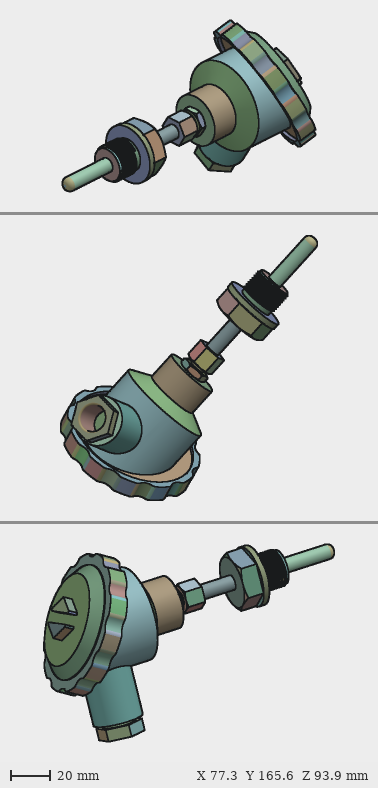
import cadquery as cq
import math


ROD_RADIUS = 4.0
TIP_FILLET = 3.1

THREAD_START = 30.5
THREAD_LEAD = 1.0
THREAD_END = 43.2
THREAD_ROOT_RADIUS = 9.1
THREAD_CREST_RADIUS = 10.0
THREAD_PITCH = 1.5
THREAD_BASE_WIDTH = 1.2
THREAD_OVERLAP = 0.2
FLANGE_START = 45.4
FLANGE_END = 48.7
FLANGE_RADIUS = 16.0
FITTING_HEX_END = 58.7
FITTING_HEX_FLATS = 27.2

NUT_FLATS = 14.0
GLAND_NUT_START = 78.4
GLAND_NUT_END = 88.6
LOCK_NUT_START = 90.5

STEM_START = 94.3
STEM_RADIUS = 14.1
CONE_START = 109.5
CONE_END = 115.2
BODY_RADIUS = 25.0

HEAD_ROLL = 30
LID_TILT = 30
LID_CENTRE = 139.0
ENTRY_CENTRE = 138.2

LID_RADIUS = 36.8
LID_THICKNESS = 9.6
LID_RECESS_RADIUS = 33.1
LID_RECESS_DEPTH = 2.0
GRIP_COUNT = 12
GRIP_RADIUS = 6.0
GRIP_DEPTH = 2.0
GRIP_FILLET = 3.0
CAP_BASE_RADIUS = 30.5
CAP_TOP_RADIUS = 24.5
CAP_STEP = 0.5
CAP_HEIGHT = 6.0
MARK_HALF_WIDTH = 10.5
MARK_SIDE = 1.3
MARK_GAP = 6.0
MARK_LENGTH = 8.0
MARK_HEIGHT = 5.0

ENTRY_RADIUS = 13.1
ENTRY_LENGTH = 50.0
ENTRY_NECK_RADIUS = 8.8
ENTRY_HEX_START = 52.0
ENTRY_HEX_END = 58.3
ENTRY_HEX_FLATS = 21.0
ENTRY_HOLE_RADIUS = 7.0
ENTRY_MOUTH_FILLET = 1.0
ENTRY_HOLE_DEPTH = 19.9

HEX_CHAMFER_ANGLE = 30
HEX_CORNER_RATIO = 2 / math.sqrt(3)


def along_probe(y):
    """Sketch plane across the probe at height y, with its normal towards the head."""
    return cq.Workplane(cq.Plane(origin=(0, y, 0), xDir=(-1, 0, 0), normal=(0, 1, 0)))


def disc(start, end, radius):
    return along_probe(start).circle(radius).extrude(end - start)


def chamfered_hexagon(start, end, flats, chamfer_start, chamfer_end):
    """Hexagon with corners on X; its corners may be turned to a cone at either end."""
    corner = flats * HEX_CORNER_RATIO / 2
    drop = (corner - flats / 2) * math.tan(math.radians(HEX_CHAMFER_ANGLE))
    prism = along_probe(start).polygon(6, 2 * corner).extrude(end - start)
    outline = [(0, start)]
    outline += [(flats / 2, start), (corner, start + drop)] if chamfer_start else [(corner, start)]
    outline += [(corner, end - drop), (flats / 2, end)] if chamfer_end else [(corner, end)]
    outline += [(0, end)]
    envelope = cq.Workplane("XY").polyline(outline).close().revolve(360, (0, 0, 0), (0, 1, 0))
    return prism.intersect(envelope)


def thread_ridge():
    """Right-handed triangular ridge wound around the thread core."""
    half_base = THREAD_BASE_WIDTH / 2
    first = THREAD_START + THREAD_LEAD
    turns_length = THREAD_END - first
    inner = THREAD_ROOT_RADIUS - THREAD_OVERLAP
    path = cq.Workplane("XY").add(cq.Wire.makeHelix(THREAD_PITCH, turns_length, inner))
    ridge = (
        cq.Workplane("XZ")
        .polyline([(inner, -half_base), (THREAD_CREST_RADIUS, 0), (inner, half_base)])
        .close()
        .sweep(path, isFrenet=True)
    )
    return ridge.rotate((0, 0, 0), (1, 0, 0), -90).translate((0, first, 0))


def probe():
    rod = disc(0, STEM_START, ROD_RADIUS).faces("<Y").edges().fillet(TIP_FILLET)
    core = disc(THREAD_START, FLANGE_START, THREAD_ROOT_RADIUS)
    flange = disc(FLANGE_START, FLANGE_END, FLANGE_RADIUS)
    fitting_hex = chamfered_hexagon(FLANGE_END, FITTING_HEX_END, FITTING_HEX_FLATS, False, True)
    gland_nut = chamfered_hexagon(GLAND_NUT_START, GLAND_NUT_END, NUT_FLATS, False, True)
    lock_nut = chamfered_hexagon(LOCK_NUT_START, STEM_START, NUT_FLATS, True, True)
    fitting = core.union(thread_ridge()).union(flange).union(fitting_hex)
    return rod.union(fitting).union(gland_nut).union(lock_nut)


def lid_plane(height):
    """Plane parallel to the lid, a height above its rim's underside; local Y points up the slope."""
    tilt = math.radians(LID_TILT)
    normal = cq.Vector(0, math.cos(tilt), math.sin(tilt))
    origin = cq.Vector(0, LID_CENTRE, 0) + normal * height
    return cq.Workplane(cq.Plane(origin=origin, xDir=(-1, 0, 0), normal=normal))


def head_body():
    body_end = LID_CENTRE + 2 * BODY_RADIUS
    outline = [
        (0, STEM_START),
        (STEM_RADIUS, STEM_START),
        (STEM_RADIUS, CONE_START),
        (BODY_RADIUS, CONE_END),
        (BODY_RADIUS, body_end),
        (0, body_end),
    ]
    body = cq.Workplane("XY").polyline(outline).close().revolve(360, (0, 0, 0), (0, 1, 0))
    cutter_size = 3 * BODY_RADIUS
    above_lid = lid_plane(LID_THICKNESS / 2).circle(cutter_size).extrude(cutter_size)
    return body.cut(above_lid)


def lid():
    roll, tilt = math.radians(HEAD_ROLL), math.radians(LID_TILT)
    first_grip = math.degrees(math.atan2(math.cos(roll) / math.cos(tilt), math.sin(roll)))
    grips = (
        lid_plane(0)
        .polarArray(LID_RADIUS + GRIP_RADIUS - GRIP_DEPTH, first_grip, 360, GRIP_COUNT)
        .circle(GRIP_RADIUS)
        .extrude(LID_THICKNESS)
    )
    rim = lid_plane(0).circle(LID_RADIUS).extrude(LID_THICKNESS).cut(grips)
    normal = lid_plane(0).plane.zDir
    rim = rim.edges(cq.selectors.ParallelDirSelector(normal)).fillet(GRIP_FILLET)
    rim = rim.cut(lid_plane(0).circle(LID_RECESS_RADIUS).extrude(LID_RECESS_DEPTH))

    step = lid_plane(LID_THICKNESS).circle(CAP_BASE_RADIUS).extrude(CAP_STEP)
    cap = (
        lid_plane(LID_THICKNESS + CAP_STEP)
        .circle(CAP_BASE_RADIUS)
        .workplane(offset=CAP_HEIGHT - CAP_STEP)
        .circle(CAP_TOP_RADIUS)
        .loft()
    )
    cover = rim.union(step).union(cap)

    for side in (-1, 1):
        base = side * MARK_GAP / 2
        shoulder = base + side * MARK_SIDE
        apex = base + side * MARK_LENGTH
        outline = [
            (-MARK_HALF_WIDTH, base),
            (MARK_HALF_WIDTH, base),
            (MARK_HALF_WIDTH, shoulder),
            (0, apex),
            (-MARK_HALF_WIDTH, shoulder),
        ]
        mark = (
            lid_plane(LID_THICKNESS + CAP_HEIGHT)
            .polyline(outline)
            .close()
            .extrude(MARK_HEIGHT)
        )
        cover = cover.union(mark)
    return cover


def cable_entry():
    """Tube, neck and hollow hexagonal gland pointing along -Z before the head is rolled."""
    across = cq.Workplane(cq.Plane(origin=(0, ENTRY_CENTRE, 0), xDir=(1, 0, 0), normal=(0, 0, -1)))
    tube = across.circle(ENTRY_RADIUS).extrude(ENTRY_LENGTH)
    neck = across.circle(ENTRY_NECK_RADIUS).extrude(ENTRY_HEX_START)
    gland = (
        across.workplane(offset=ENTRY_HEX_START)
        .polygon(6, ENTRY_HEX_FLATS * HEX_CORNER_RATIO)
        .extrude(ENTRY_HEX_END - ENTRY_HEX_START)
    )
    hole = (
        across.workplane(offset=ENTRY_HEX_END)
        .circle(ENTRY_HOLE_RADIUS)
        .extrude(-ENTRY_HOLE_DEPTH)
    )
    entry = tube.union(neck).union(gland).cut(hole)
    return entry.faces("<Z").edges("%CIRCLE").fillet(ENTRY_MOUTH_FILLET)


head = head_body().union(cable_entry()).union(lid())
head = head.rotate((0, 0, 0), (0, 1, 0), HEAD_ROLL)
result = head.union(probe())